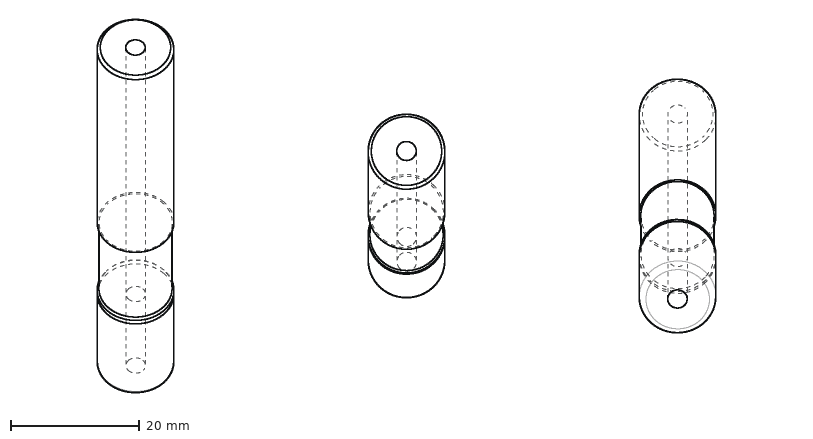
import cadquery as cq

total_length = 80.0
diameter = 12.0
neck_diameter = 11.4
bore_diameter = 3.0

cutter_length = 18.0
cutter_corner_radius = 1.0
collar_height = 0.9
collar_bevel_height = 0.5
neck_top = 36.0
shank_chamfer = 0.5

radius = diameter / 2
neck_radius = neck_diameter / 2
bore_radius = bore_diameter / 2
collar_top = cutter_length + collar_height
neck_bottom = collar_top + collar_bevel_height


def make_cutter():
    """Bored cylinder with a rounded lower rim."""
    body = cq.Workplane("XY").circle(radius).extrude(cutter_length)
    body = body.faces("<Z").edges().fillet(cutter_corner_radius)
    bore = cq.Workplane("XY").circle(bore_radius).extrude(cutter_length)
    return body.cut(bore)


def make_shank():
    """Bored shank turned from one profile: collar, bevel, neck, full diameter and top chamfer."""
    profile = (
        cq.Workplane("XZ")
        .moveTo(bore_radius, cutter_length)
        .lineTo(radius, cutter_length)
        .lineTo(radius, collar_top)
        .lineTo(neck_radius, neck_bottom)
        .lineTo(neck_radius, neck_top)
        .lineTo(radius, neck_top)
        .lineTo(radius, total_length - shank_chamfer)
        .lineTo(radius - shank_chamfer, total_length)
        .lineTo(bore_radius, total_length)
        .close()
    )
    return profile.revolve(360, (0, 0, 0), (0, 1, 0))


cutter = make_cutter()
shank = make_shank()

result = cq.Compound.makeCompound([cutter.val(), shank.val()])